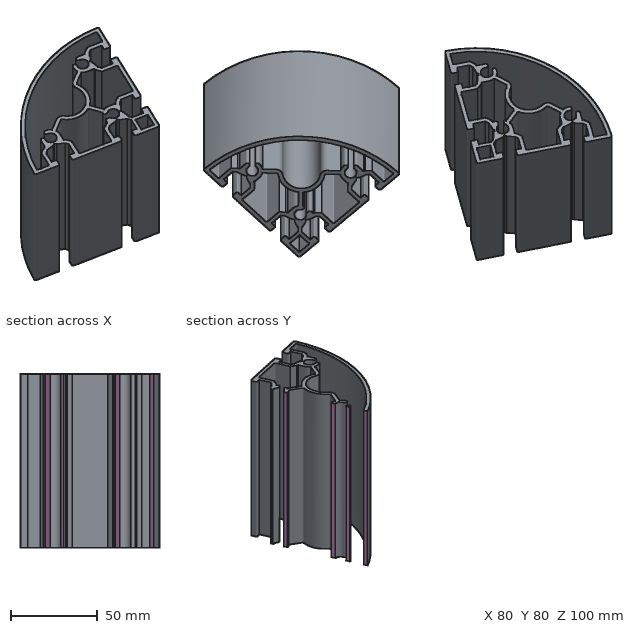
import cadquery as cq
import math

LENGTH = 100.0
RADIUS = 80.0
WALL = 2.5
CORNER_ROUND = 1.0
INNER_ROUND = 0.5

NEAR = 20.0
FAR = 60.0
MIDDLE = (NEAR + FAR) / 2
BORE_DEPTH = NEAR
SLOT_MOUTH = 8.0
LIP_DEPTH = 4.2
SLOT_WIDTH = 14.5
SLOT_HALF = SLOT_WIDTH / 2
SLOT_SIDE_DEPTH = 11.4
SLOT_BEVEL = 1.6
SLOT_FLOOR_DEPTH = 14.4
NOTCH_HALF = 1.1
NOTCH_DEPTH = 15.4

BORE_RADIUS = 3.4
BOSS_RADIUS = 6.0
BORE_LIP = 1.9
NECK_WIDTH = 3.4
NECK_ROUND = 1.2
WEB_LIP_ROUND = 0.8

CORNER_CHAMBER_SIDE = 8.0
SHOULDER_DEPTH = 12.4
SHOULDER_BEVEL = 2.8
SHOULDER_END_DEPTH = 15.6
RING_INNER = 11.0
RING_OUTER = RING_INNER + WALL
RING_ROUND = 4.0

FAR_BORE = (-FAR, -BORE_DEPTH)
RING_CENTER = (-MIDDLE, -MIDDLE)
MIRROR_NORMAL = cq.Vector(1, -1, 0)
SIN45 = math.sqrt(0.5)


def with_mirror(solid):
    """Join a solid with its reflection about the plane X = Y."""
    return solid.union(solid.mirror(MIRROR_NORMAL))


def with_swapped(points):
    """The points together with their reflections about the line X = Y."""
    return points + [(y, x) for x, y in points]


def mirrored_outline(start, steps):
    """Draw the steps up to the line X = Y, then their reflections back to the mirrored start."""
    path = cq.Workplane("XY").moveTo(*start)
    for middle, end in steps:
        path = path.threePointArc(middle, end) if middle else path.lineTo(*end)
    ends_back = [start] + [end for _, end in steps[:-1]]
    for (middle, _), end in zip(reversed(steps), reversed(ends_back)):
        end = end[::-1]
        path = path.threePointArc(middle[::-1], end) if middle else path.lineTo(*end)
    return path


def round_at(solid, points, radius):
    """Fillet the upright edges that pass through the given XY points."""
    reach = 0.05
    for x, y in points:
        box = cq.selectors.BoxSelector((x - reach, y - reach, 0), (x + reach, y + reach, LENGTH))
        solid = solid.edges("|Z").edges(box).fillet(radius)
    return solid


def on_circle(center, radius, angle):
    return (center[0] + radius * math.cos(angle), center[1] + radius * math.sin(angle))


def beside_web(center, direction, radius, side):
    """Point at a radius from the center, half a wall to one side of a far web.

    The far web runs along (1, -1) from the far bore to the ring, where direction is 1
    towards the ring and -1 away from it. Side is 1 for the face nearer the square corner.
    """
    half = side * WALL / 2
    along = direction * math.sqrt(radius**2 - half**2)
    return (center[0] + (along + half) * SIN45, center[1] + (half - along) * SIN45)


def quarter_body():
    body = (
        cq.Workplane("XY")
        .lineTo(-RADIUS, 0)
        .threePointArc((-RADIUS * SIN45, -RADIUS * SIN45), (0, -RADIUS))
        .close()
        .extrude(LENGTH)
    )
    return body.edges("|Z").fillet(CORNER_ROUND)


def slot(center):
    """T-slot open at Y = 0 with a bevelled floor and a drill-guide notch."""
    half_outline = [
        (SLOT_MOUTH / 2, 0),
        (SLOT_MOUTH / 2, -LIP_DEPTH),
        (SLOT_HALF, -LIP_DEPTH),
        (SLOT_HALF, -SLOT_SIDE_DEPTH),
        (SLOT_HALF - SLOT_BEVEL, -SLOT_SIDE_DEPTH - SLOT_BEVEL),
        (NOTCH_HALF, -SLOT_FLOOR_DEPTH),
    ]
    other_half = [(-x, y) for x, y in reversed(half_outline)]
    outline = half_outline + [(0, -NOTCH_DEPTH)] + other_half
    return cq.Workplane("XY").center(-center, 0).polyline(outline).close().extrude(LENGTH)


def corner_chamber():
    center = -WALL - CORNER_CHAMBER_SIDE / 2
    square = cq.Workplane("XY").center(center, center).rect(CORNER_CHAMBER_SIDE, CORNER_CHAMBER_SIDE)
    return square.extrude(LENGTH)


def side_chamber():
    """Chamber between the two slots of the Y = 0 face, symmetric about X = -MIDDLE."""
    side_x = -FAR + SLOT_HALF + WALL
    boss_x = -FAR + BOSS_RADIUS
    boss_end = beside_web(FAR_BORE, 1, BOSS_RADIUS, 1)
    ring_corner = beside_web(RING_CENTER, -1, RING_OUTER, 1)
    ring_top = (-MIDDLE, -MIDDLE + RING_OUTER)
    boss_turn = math.atan2(boss_end[1] - FAR_BORE[1], boss_end[0] - FAR_BORE[0])
    ring_turn = math.atan2(ring_corner[1] - RING_CENTER[1], ring_corner[0] - RING_CENTER[0])
    half = (
        cq.Workplane("XY")
        .moveTo(-MIDDLE, -WALL)
        .lineTo(side_x, -WALL)
        .lineTo(side_x, -SHOULDER_DEPTH)
        .lineTo(side_x - SHOULDER_BEVEL, -SHOULDER_DEPTH - SHOULDER_BEVEL)
        .lineTo(boss_x, -SHOULDER_END_DEPTH)
        .lineTo(boss_x, -BORE_DEPTH)
        .threePointArc(on_circle(FAR_BORE, BOSS_RADIUS, boss_turn / 2), boss_end)
        .lineTo(*ring_corner)
        .threePointArc(on_circle(RING_CENTER, RING_OUTER, (ring_turn + math.pi / 2) / 2), ring_top)
        .close()
        .extrude(LENGTH)
    )
    half = round_at(half, [(side_x, -WALL)], INNER_ROUND)
    half = round_at(half, [ring_corner], CORNER_ROUND)
    return half.union(half.mirror("YZ", (-MIDDLE, 0, 0)))


def near_bore():
    """Bore shared by the two near slots, with a neck that opens into the chamber below it."""
    half_neck = NECK_WIDTH / 2
    bore = cq.Workplane("XY").center(-NEAR, -BORE_DEPTH).circle(BORE_RADIUS).extrude(LENGTH)
    neck = cq.Workplane("XY").box(NECK_WIDTH, BOSS_RADIUS, LENGTH, centered=(True, False, False))
    neck = neck.translate((-NEAR, -BORE_DEPTH - BOSS_RADIUS, 0))
    opening = bore.union(neck).union(side_chamber().mirror(MIRROR_NORMAL))
    bore_edge_y = -BORE_DEPTH - math.sqrt(BORE_RADIUS**2 - half_neck**2)
    boss_edge_y = -BORE_DEPTH - math.sqrt(BOSS_RADIUS**2 - half_neck**2)
    lip_edges = [
        (-NEAR - half_neck, bore_edge_y),
        (-NEAR + half_neck, bore_edge_y),
        (-NEAR + half_neck, -BORE_DEPTH - BOSS_RADIUS),
    ]
    opening = round_at(opening, lip_edges, NECK_ROUND)
    return round_at(opening, [(-NEAR - half_neck, boss_edge_y)], WEB_LIP_ROUND)


def outer_chamber():
    """Chamber behind the round skin, including the two far bores that open into it."""
    bore_x, bore_y = FAR_BORE
    skin_radius = RADIUS - WALL
    skin_top = (-math.sqrt(skin_radius**2 - WALL**2), -WALL)
    skin_middle = (-skin_radius * SIN45, -skin_radius * SIN45)
    slot_wall_x = -FAR - SLOT_HALF - WALL
    slot_wall_top = (slot_wall_x, -WALL)
    boss_x = bore_x - BOSS_RADIUS
    lip_middle = (BORE_RADIUS + BOSS_RADIUS) / 2
    lip_end = BORE_LIP - (BOSS_RADIUS - BORE_RADIUS) / 2
    web_start = beside_web(FAR_BORE, 1, BOSS_RADIUS, -1)
    web_turn = math.atan2(web_start[1] - bore_y, web_start[0] - bore_x)
    ring_corner = beside_web(RING_CENTER, -1, RING_INNER, -1)
    ring_middle = (RING_CENTER[0] + RING_INNER * SIN45, RING_CENTER[1] + RING_INNER * SIN45)
    steps = [
        (None, slot_wall_top),
        (None, (slot_wall_x, -SHOULDER_DEPTH)),
        (None, (slot_wall_x + SHOULDER_BEVEL, -SHOULDER_DEPTH - SHOULDER_BEVEL)),
        (None, (boss_x, -SHOULDER_END_DEPTH)),
        (None, (boss_x, bore_y - lip_end)),
        ((bore_x - lip_middle, bore_y - BORE_LIP), (bore_x - BORE_RADIUS, bore_y - lip_end)),
        (None, (bore_x - BORE_RADIUS, bore_y)),
        (on_circle(FAR_BORE, BORE_RADIUS, math.pi / 4), (bore_x, bore_y - BORE_RADIUS)),
        (None, (bore_x - lip_end, bore_y - BORE_RADIUS)),
        ((bore_x - BORE_LIP, bore_y - lip_middle), (bore_x - lip_end, bore_y - BOSS_RADIUS)),
        (None, (bore_x, bore_y - BOSS_RADIUS)),
        (on_circle(FAR_BORE, BOSS_RADIUS, (web_turn - math.pi / 2) / 2), web_start),
        (None, ring_corner),
        (on_circle(RING_CENTER, RING_INNER, math.pi / 2), ring_middle),
    ]
    outline = mirrored_outline(skin_top, steps)
    chamber = outline.threePointArc(skin_middle, skin_top).close().extrude(LENGTH)
    chamber = round_at(chamber, with_swapped([skin_top, slot_wall_top]), INNER_ROUND)
    return round_at(chamber, with_swapped([ring_corner]), RING_ROUND)


def slot_lip_edges(depth):
    """Edges of the slot lips on both flat faces, at one depth."""
    half_mouth = SLOT_MOUTH / 2
    lip_faces = [-NEAR - half_mouth, -NEAR + half_mouth, -FAR - half_mouth, -FAR + half_mouth]
    return with_swapped([(x, -depth) for x in lip_faces])


slots = with_mirror(slot(NEAR).union(slot(FAR)))
section_voids = [slots, corner_chamber(), side_chamber(), near_bore(), outer_chamber()]
result = quarter_body()
for void in section_voids:
    result = result.cut(void)
result = round_at(result, slot_lip_edges(0), CORNER_ROUND)
result = round_at(result, slot_lip_edges(LIP_DEPTH), INNER_ROUND)